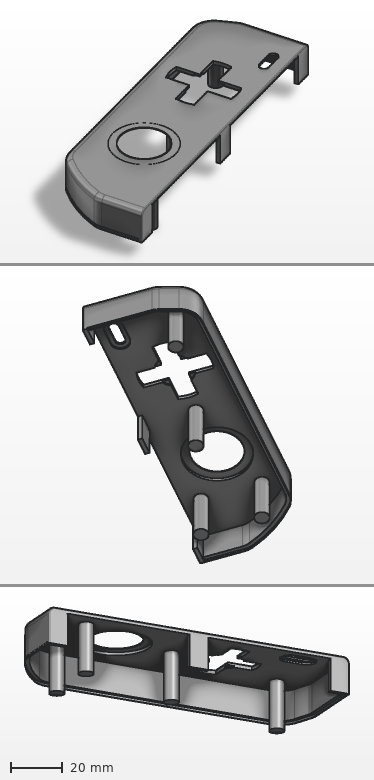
import cadquery as cq
import math

WIDTH = 45.0
LENGTH = 130.0
HEIGHT = 15.0
ROOF = 1.7
WALL = 1.8
CEILING = HEIGHT - ROOF

TOP_SLOPE_ANGLE = 20.0
TOP_SLOPE_END_X = 15.1
TOP_LEFT_RADIUS = 10.0
TOP_BLEND_RADIUS = 8.0
SWEEP_RADIUS = 57.2
SWEEP_START_Y = 18.5
SWEEP_END_X = 25.1
SWEEP_BLEND_RADIUS = 10.0

ROOF_FILLET = 2.6
RAIL_FILLET = 0.4

SEAT_DEPTH = 1.0
SEAT_LIP = 0.4
SEAT_SWEEP_LIP = 0.1

CONTROL_X = 23.1
CROSS_Y = 86.5
CROSS_DIAMETER = 30.0
CROSS_ARM = 8.2
CROSS_RECESS_DIAMETER = 16.0
CROSS_RECESS_ROOF = 1.0
STICK_Y = 40.0
STICK_DIAMETER = 21.2
STICK_RECESS_DIAMETER = 28.0
STICK_RECESS_ROOF = 0.4
SLOT_WIDTH = 4.2
SLOT_LENGTH = 11.3
SLOT_X = 37.7
SLOT_Y = 111.5
SLOT_RECESS_MARGIN = 1.8
SLOT_RECESS_ROOF = 0.9

WINDOW_MARGIN = 8.0
WINDOW_POST = 8.0

PIN_DIAMETER = 6.0
PIN_PROTRUSION = 7.0
PIN_CENTERS = [(12.1, 20.0), (37.2, 20.0), (22.9, 64.1), (12.1, 115.2)]


def vertical_cylinder(diameter, x, y, z_bottom, z_top):
    return (
        cq.Workplane("XY", origin=(x, y, z_bottom))
        .circle(diameter / 2)
        .extrude(z_top - z_bottom)
    )


def outline_block(height, sweep_shift=0.0):
    """Body outline extruded up from z = 0, with its four corners rounded.

    A positive sweep_shift moves the large arc outward along its normals.
    """
    slope_start_y = LENGTH - TOP_SLOPE_END_X * math.tan(math.radians(TOP_SLOPE_ANGLE))

    chord = math.hypot(SWEEP_END_X, SWEEP_START_Y)
    rise = math.sqrt(SWEEP_RADIUS**2 - (chord / 2) ** 2)
    center_x = SWEEP_END_X / 2 + rise * SWEEP_START_Y / chord
    center_y = SWEEP_START_Y / 2 + rise * SWEEP_END_X / chord

    sweep_radius = SWEEP_RADIUS + sweep_shift
    sweep_start_y = center_y - math.sqrt(sweep_radius**2 - center_x**2)
    sweep_end_x = center_x - math.sqrt(sweep_radius**2 - center_y**2)

    block = (
        cq.Workplane("XY")
        .moveTo(sweep_end_x, 0)
        .lineTo(WIDTH, 0)
        .lineTo(WIDTH, LENGTH)
        .lineTo(TOP_SLOPE_END_X, LENGTH)
        .lineTo(0, slope_start_y)
        .lineTo(0, sweep_start_y)
        .radiusArc((sweep_end_x, 0), -sweep_radius)
        .close()
        .extrude(height)
    )
    corners = [
        (0, slope_start_y, TOP_LEFT_RADIUS),
        (TOP_SLOPE_END_X, LENGTH, TOP_BLEND_RADIUS),
        (0, sweep_start_y, SWEEP_BLEND_RADIUS),
        (sweep_end_x, 0, SWEEP_BLEND_RADIUS),
    ]
    for x, y, radius in corners:
        edge = cq.selectors.NearestToPointSelector((x, y, height / 2))
        block = block.edges("|Z").edges(edge).fillet(radius)
    return block


def inset_block(inset, height, sweep_shift=0.0):
    """Body outline moved inward by inset and extruded up from z = 0."""
    outline = outline_block(height, sweep_shift).faces("<Z").wires().val()
    inner_outline = outline.offset2D(-inset, "intersection")
    return cq.Workplane("XY").add(inner_outline).toPending().extrude(height)


def outer_body():
    body = outline_block(HEIGHT)
    body = body.faces(">Z").edges("not >X").fillet(ROOF_FILLET)
    return body.faces(">X").edges("not <Z").fillet(RAIL_FILLET)


def cross_opening():
    """Two crossed arms with ends rounded to a common circle."""
    center = cq.Workplane("XY", origin=(CONTROL_X, CROSS_Y, CEILING))
    arm_along_x = center.rect(CROSS_DIAMETER, CROSS_ARM).extrude(ROOF)
    arm_along_y = center.rect(CROSS_ARM, CROSS_DIAMETER).extrude(ROOF)
    disc = vertical_cylinder(CROSS_DIAMETER, CONTROL_X, CROSS_Y, CEILING, HEIGHT)
    return disc.intersect(arm_along_x.union(arm_along_y))


def slot_prism(margin, z_bottom, z_top):
    """The slot widened by margin all round, between two heights."""
    return (
        cq.Workplane("XY", origin=(SLOT_X, SLOT_Y, z_bottom))
        .slot2D(SLOT_LENGTH + 2 * margin, SLOT_WIDTH + 2 * margin, 90)
        .extrude(z_top - z_bottom)
    )


def back_plate_seat():
    """Shallow step inside the rim that stops at the inner face of the rail wall."""
    step = inset_block(SEAT_LIP, SEAT_DEPTH, SEAT_LIP - SEAT_SWEEP_LIP)
    rail_wall = cq.Workplane("XY").box(WALL, LENGTH, SEAT_DEPTH, centered=False)
    return step.cut(rail_wall.translate((WIDTH - WALL, 0, 0)))


def rail_windows():
    """Openings through the +X wall from the rim up to the roof."""
    span = (LENGTH - 2 * WINDOW_MARGIN - WINDOW_POST) / 2
    offset = (WINDOW_POST + span) / 2
    return (
        cq.Workplane("XY", origin=(WIDTH, LENGTH / 2, 0))
        .pushPoints([(0, -offset), (0, offset)])
        .rect(2 * WALL, span)
        .extrude(CEILING)
    )


shell = outer_body().cut(inset_block(WALL, CEILING))
shell = shell.cut(back_plate_seat())
shell = shell.cut(rail_windows())

for x, y in PIN_CENTERS:
    shell = shell.union(vertical_cylinder(PIN_DIAMETER, x, y, -PIN_PROTRUSION, CEILING))

cross_recess_top = HEIGHT - CROSS_RECESS_ROOF
stick_recess_top = HEIGHT - STICK_RECESS_ROOF
shell = shell.cut(vertical_cylinder(CROSS_RECESS_DIAMETER, CONTROL_X, CROSS_Y, CEILING, cross_recess_top))
shell = shell.cut(vertical_cylinder(STICK_RECESS_DIAMETER, CONTROL_X, STICK_Y, CEILING, stick_recess_top))
shell = shell.cut(slot_prism(SLOT_RECESS_MARGIN, CEILING, HEIGHT - SLOT_RECESS_ROOF))

shell = shell.cut(vertical_cylinder(STICK_DIAMETER, CONTROL_X, STICK_Y, CEILING, HEIGHT))
shell = shell.cut(cross_opening())
result = shell.cut(slot_prism(0, CEILING, HEIGHT))